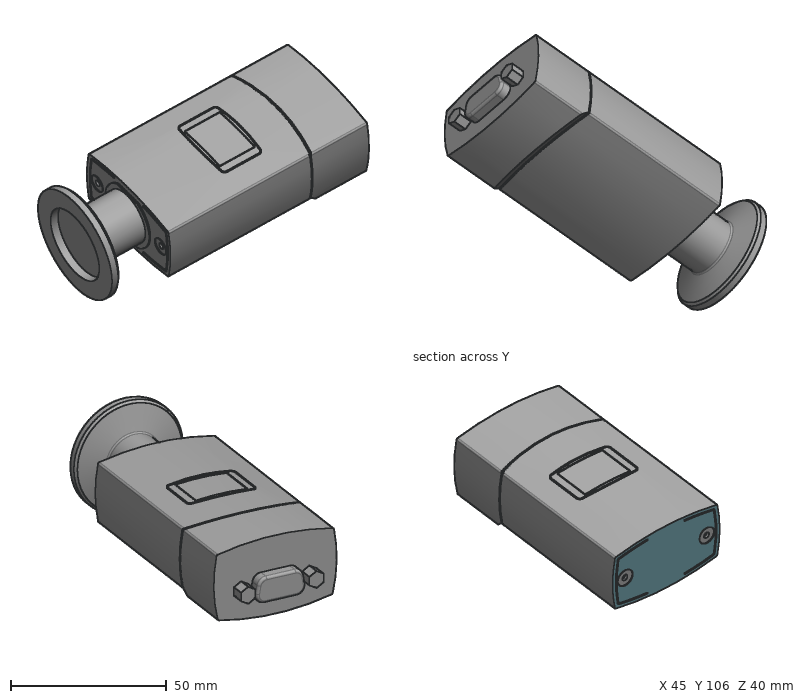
import cadquery as cq
import math

total_length = 106.0

flange_radius = 40.0 / 2
flange_edge_y = 2.4
flange_chamfer = 0.8
neck_radius = 19.5 / 2
neck_end_y = 5.9
neck_fillet = 0.6
bore_radius = 26.2 / 2
bore_depth = 3.0
collar_radius = 23.5 / 2
collar_height = 0.5
collar_flat_z = 10.4

body_front_y = 21.5
body_rear_y = 101.2
half_width = 45.0 / 2
half_height = 12.9
corner_z = 10.6
side_radius = 53.0
corner_fillet = 0.7
cap_drop = 2.1

joint_y = 78.1
joint_bend_z = 10.3
joint_gap = 0.5
joint_depth = 0.5

panel_inset = 1.5
panel_groove_width = 0.3
panel_groove_depth = 0.2
panel_groove_break = 15.5
screw_x = 17.1
screw_head_radius = 6.0 / 2
screw_head_depth = 0.3
screw_socket_radius = 2.1 / 2
screw_socket_depth = 1.1

window_y = 58.1
window_width = 25.2
window_side_length = 15.7
window_bulge = 0.7
window_corner = 1.6
window_groove_width = 0.3
window_groove_depth = 0.2
display_width = 18.9
display_length = 14.1
display_depth = 0.3

connector_z = -3.7
shell_end_y = 105.2
shell_top_half = 5.3
shell_bottom_half = 5.8
shell_core_height = 2.9
shell_corner = 3.2
shell_edge_round = 1.0
standoff_x = 12.5
standoff_corner_radius = 6.0 / 2

overlap = 1.1


def plane_at(y):
    """Plane facing +Y whose local axes are -X and +Z."""
    return cq.Workplane(cq.Plane(origin=(0, y, 0), xDir=(-1, 0, 0), normal=(0, 1, 0)))


def side_x(z):
    """Half-width of the housing at height z on its bulged side."""
    return half_width - side_radius + math.sqrt(side_radius**2 - z**2)


def section(y, length, drop=0.0, inset=0.0):
    """Prism of the housing section; drop lowers its bottom, inset shrinks it."""
    low_z = -corner_z - drop
    wire = (
        plane_at(y)
        .moveTo(-side_x(corner_z), corner_z)
        .threePointArc((0, half_height), (side_x(corner_z), corner_z))
        .threePointArc((half_width, 0), (side_x(low_z), low_z))
        .threePointArc((0, -half_height - drop), (-side_x(low_z), low_z))
        .threePointArc((-half_width, 0), (-side_x(corner_z), corner_z))
        .close()
    )
    if inset:
        wire = wire.offset2D(-inset)
    return wire.extrude(length).edges("|Y").fillet(corner_fillet)


def behind_joint(y):
    """Everything behind the joint: flat at mid-height, sloping back at 45 degrees above and below."""
    reach = half_height + cap_drop + overlap
    back_y = y + reach - joint_bend_z
    return (
        cq.Workplane("YZ")
        .polyline([
            (y, -joint_bend_z),
            (y, joint_bend_z),
            (back_y, reach),
            (total_length, reach),
            (total_length, -reach),
            (back_y, -reach),
        ])
        .close()
        .extrude(half_width + overlap, both=True)
    )


def make_housing():
    """Body and deeper rear cap joined by an inset core that leaves a groove between them."""
    body = section(body_front_y, body_rear_y - body_front_y).cut(behind_joint(joint_y))
    cap_length = body_rear_y - joint_y
    cap = section(joint_y, cap_length, drop=cap_drop).intersect(behind_joint(joint_y + joint_gap))
    core_start = joint_y - overlap
    core = section(core_start, body_rear_y - overlap - core_start, inset=joint_depth)
    return body.union(core).union(cap)


def make_flange():
    """Bored flange with a tapered back, on a neck that ends in a flat-sided collar."""
    profile = (
        cq.Workplane("XY")
        .lineTo(flange_radius, 0)
        .lineTo(flange_radius, flange_edge_y)
        .lineTo(flange_radius - flange_chamfer, flange_edge_y + flange_chamfer)
        .lineTo(neck_radius, neck_end_y)
        .lineTo(neck_radius, body_front_y + overlap)
        .lineTo(0, body_front_y + overlap)
        .close()
    )
    flange = profile.revolve(360, (0, 0, 0), (0, 1, 0))
    neck_root = cq.selectors.NearestToPointSelector((0, neck_end_y, 0))
    flange = flange.edges("%CIRCLE").edges(neck_root).fillet(neck_fillet)
    collar_length = collar_height + overlap
    collar_plane = plane_at(body_front_y - collar_height)
    disc = collar_plane.circle(collar_radius).extrude(collar_length)
    flats = collar_plane.rect(2 * collar_radius, 2 * collar_flat_z).extrude(collar_length)
    collar = disc.intersect(flats)
    bore = plane_at(0).circle(bore_radius).extrude(bore_depth)
    return flange.union(collar).cut(bore)


def panel_groove():
    """Shallow outline groove on the front face, interrupted above and below the neck."""
    outer = section(body_front_y, panel_groove_depth, inset=panel_inset)
    inner = section(body_front_y, panel_groove_depth, inset=panel_inset + panel_groove_width)
    gap = plane_at(body_front_y).rect(panel_groove_break, 2 * half_height).extrude(panel_groove_depth)
    return outer.cut(inner).cut(gap)


def screw_recesses():
    places = [(-screw_x, 0), (screw_x, 0)]
    heads = plane_at(body_front_y).pushPoints(places).circle(screw_head_radius).extrude(screw_head_depth)
    socket_depth = screw_head_depth + screw_socket_depth
    sockets = plane_at(body_front_y).pushPoints(places).circle(screw_socket_radius).extrude(socket_depth)
    return heads.union(sockets)


def top_skin(depth):
    """Layer of the given depth just under the bulged top face."""
    length = body_rear_y - body_front_y
    layer = section(body_front_y, length)
    return layer.cut(layer.translate((0, 0, -depth)))


def window_outline(inset):
    """Rounded window prism with bulged front and rear sides."""
    half_x = window_width / 2 - inset
    half_y = window_side_length / 2 - inset
    return (
        cq.Workplane("XY")
        .center(0, window_y)
        .moveTo(-half_x, -half_y)
        .threePointArc((0, -half_y - window_bulge), (half_x, -half_y))
        .lineTo(half_x, half_y)
        .threePointArc((0, half_y + window_bulge), (-half_x, half_y))
        .close()
        .extrude(half_height + overlap)
        .edges("|Z")
        .fillet(window_corner - inset)
    )


def window_cuts():
    frame = window_outline(0).cut(window_outline(window_groove_width))
    groove = frame.intersect(top_skin(window_groove_depth))
    display = cq.Workplane("XY").center(0, window_y).rect(display_width, display_length)
    display = display.extrude(half_height + overlap).intersect(top_skin(display_depth))
    return groove.union(display)


def make_connector():
    """D-shaped connector shell between two hexagonal standoffs."""
    half_core = shell_core_height / 2
    shell = (
        plane_at(body_rear_y - overlap)
        .polyline([
            (-shell_top_half, connector_z + half_core),
            (shell_top_half, connector_z + half_core),
            (shell_bottom_half, connector_z - half_core),
            (-shell_bottom_half, connector_z - half_core),
        ])
        .close()
        .offset2D(shell_corner)
        .extrude(shell_end_y - body_rear_y + overlap)
        .faces(">Y")
        .edges()
        .fillet(shell_edge_round)
    )
    hexagon = []
    for corner in range(6):
        angle = math.radians(90 + 60 * corner)
        hexagon.append((standoff_corner_radius * math.cos(angle), standoff_corner_radius * math.sin(angle)))
    for x in (-standoff_x, standoff_x):
        standoff = plane_at(body_rear_y - overlap).center(x, connector_z).polyline(hexagon).close()
        shell = shell.union(standoff.extrude(total_length - body_rear_y + overlap))
    return shell


housing = make_housing().cut(panel_groove()).cut(screw_recesses()).cut(window_cuts())
result = housing.union(make_flange()).union(make_connector())